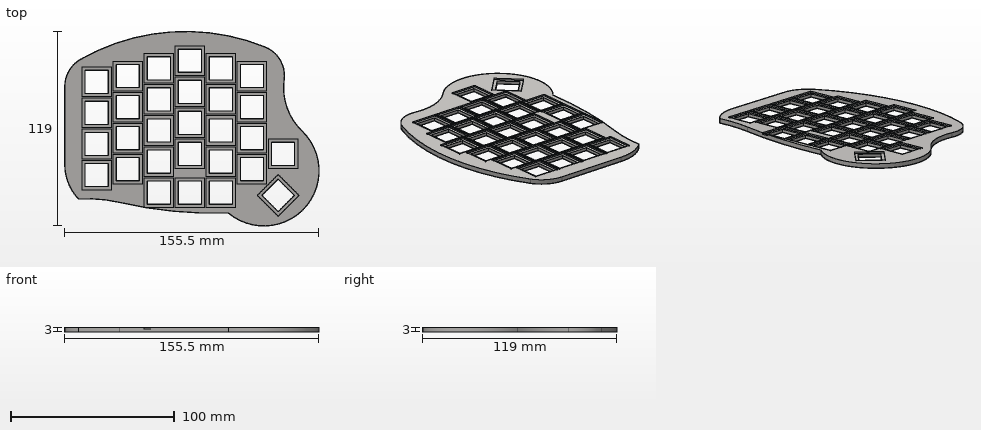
import cadquery as cq
import math

LENGTH = 155.5
DEPTH = 119.0
THICKNESS = 3.0

KEY_PITCH = 19.0
WINDOW_SIDE = 14.0
RECESS_SIDE = 18.0
RECESS_DEPTH = 1.0

KEYS_PER_COLUMN = 4
MIDDLE_COLUMN = 3
MIDDLE_COLUMN_X = -1.2
COLUMN_TOP_Y = [28.6, 32.2, 36.8, 41.5, 36.8, 32.2]

BOTTOM_ROW_COLUMNS = [2, 3, 4]
BOTTOM_ROW_Y = COLUMN_TOP_Y[2] - KEYS_PER_COLUMN * KEY_PITCH

THUMB_COLUMN = 6
THUMB_KEY_Y = COLUMN_TOP_Y[MIDDLE_COLUMN] - (KEYS_PER_COLUMN - 1) * KEY_PITCH
TURNED_KEY_X = 52.7
TURNED_KEY_Y = -40.7
TURNED_KEY_ANGLE = 45.0

LEFT_X = -LENGTH / 2
BULB_RADIUS = 33.7
CROWN_X = -3.9
CROWN_RADIUS = 129.2
NECK_RADIUS = 36.5
RIGHT_SHOULDER_X = 37.6
RIGHT_SHOULDER_RADIUS = 19.0
LEFT_SHOULDER_RADIUS = 19.5
HEEL_Y = -21.8
HEEL_RADIUS = 30.8
HOLLOW_MIDDLE = (-10.9, -50.5)
HOLLOW_END = (-44.2, -45.1)
HEEL_CORNER_X = -69.2
BULB_CORNER_X = 22.2


def point_toward(circle, x, y):
    """Point of the circle in the direction of (x, y)."""
    center_x, center_y, radius = circle
    reach = math.hypot(x - center_x, y - center_y)
    return (center_x + radius * (x - center_x) / reach, center_y + radius * (y - center_y) / reach)


def lower_point(circle, x):
    """Point on the lower half of the circle at the given x."""
    center_x, center_y, radius = circle
    return (x, center_y - math.sqrt(radius**2 - (x - center_x) ** 2))


def circle_inside(large, x, radius):
    """Circle centred at x that touches the upper part of the large circle from within."""
    rise = math.sqrt((large[2] - radius) ** 2 - (x - large[0]) ** 2)
    return (x, large[1] + rise, radius)


def circle_bridging(lower, upper, radius):
    """Circle on the +X side that touches both the lower and the upper circle from outside."""
    span_x = upper[0] - lower[0]
    span_y = upper[1] - lower[1]
    span = math.hypot(span_x, span_y)
    lower_reach = lower[2] + radius
    upper_reach = upper[2] + radius
    along = (span**2 + lower_reach**2 - upper_reach**2) / (2 * span)
    across = math.sqrt(lower_reach**2 - along**2)
    center_x = lower[0] + (along * span_x + across * span_y) / span
    center_y = lower[1] + (along * span_y - across * span_x) / span
    return (center_x, center_y, radius)


def plate():
    bulb = (LENGTH / 2 - BULB_RADIUS, BULB_RADIUS - DEPTH / 2, BULB_RADIUS)
    crown = (CROWN_X, DEPTH / 2 - CROWN_RADIUS, CROWN_RADIUS)
    right_shoulder = circle_inside(crown, RIGHT_SHOULDER_X, RIGHT_SHOULDER_RADIUS)
    left_shoulder = circle_inside(crown, LEFT_X + LEFT_SHOULDER_RADIUS, LEFT_SHOULDER_RADIUS)
    neck = circle_bridging(bulb, right_shoulder, NECK_RADIUS)
    heel = (LEFT_X + HEEL_RADIUS, HEEL_Y, HEEL_RADIUS)

    bulb_corner = lower_point(bulb, BULB_CORNER_X)
    heel_corner = lower_point(heel, HEEL_CORNER_X)
    heel_middle = point_toward(heel, LEFT_X, heel_corner[1])
    heel_end = (LEFT_X, HEEL_Y)
    left_shoulder_start = (LEFT_X, left_shoulder[1])
    crown_start = point_toward(crown, left_shoulder[0], left_shoulder[1])
    crown_end = point_toward(crown, right_shoulder[0], right_shoulder[1])
    neck_start = point_toward(right_shoulder, neck[0], neck[1])
    neck_end = point_toward(bulb, neck[0], neck[1])

    return (
        cq.Workplane("XY")
        .workplane(offset=-THICKNESS / 2)
        .moveTo(*bulb_corner)
        .threePointArc(HOLLOW_MIDDLE, HOLLOW_END)
        .tangentArcPoint(heel_corner, relative=False)
        .threePointArc(heel_middle, heel_end)
        .lineTo(*left_shoulder_start)
        .tangentArcPoint(crown_start, relative=False)
        .tangentArcPoint(crown_end, relative=False)
        .tangentArcPoint(neck_start, relative=False)
        .tangentArcPoint(neck_end, relative=False)
        .tangentArcPoint(bulb_corner, relative=False)
        .close()
        .extrude(THICKNESS)
    )


def column_x(column):
    return MIDDLE_COLUMN_X + (column - MIDDLE_COLUMN) * KEY_PITCH


def upright_keys():
    """Centres of all keys that are square to the plate axes."""
    centers = [(column_x(THUMB_COLUMN), THUMB_KEY_Y)]
    for column in BOTTOM_ROW_COLUMNS:
        centers.append((column_x(column), BOTTOM_ROW_Y))
    for column, top_y in enumerate(COLUMN_TOP_Y):
        for row in range(KEYS_PER_COLUMN):
            centers.append((column_x(column), top_y - row * KEY_PITCH))
    return centers


def cut_keys(body, centers, angle=0.0):
    """Cut the recess and the through window of each key, turned by the angle about its centre."""
    top_face = cq.Workplane("XY").workplane(offset=THICKNESS / 2).pushPoints(centers)
    for side, depth in ((RECESS_SIDE, RECESS_DEPTH), (WINDOW_SIDE, THICKNESS)):
        square = cq.Sketch().rect(side, side, angle=angle)
        body = body.cut(top_face.placeSketch(square).extrude(-depth))
    return body


result = plate()
result = cut_keys(result, upright_keys())
result = cut_keys(result, [(TURNED_KEY_X, TURNED_KEY_Y)], TURNED_KEY_ANGLE)